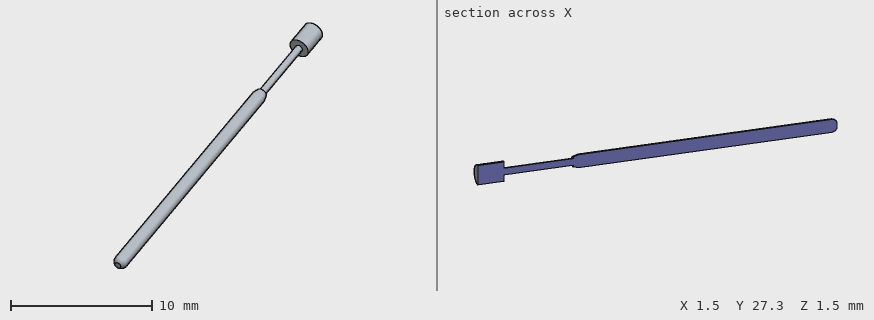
import cadquery as cq
import math

total_length = 27.3

head_diameter = 1.5
head_length = 2.0

plunger_diameter = 0.54
plunger_length = 5.25

barrel_diameter = 1.02
mouth_diameter = 0.8
mouth_length = 0.42

tip_length = 0.45

head_radius = head_diameter / 2
plunger_radius = plunger_diameter / 2
barrel_radius = barrel_diameter / 2
mouth_radius = mouth_diameter / 2
tip_flat_radius = math.sqrt(barrel_radius**2 - tip_length**2)

head_end = total_length / 2
tip_end = -head_end
head_start = head_end - head_length
mouth_end = head_start - plunger_length
taper_start = mouth_end - mouth_length
tip_start = tip_end + tip_length

tip_half_angle = math.asin(tip_length / barrel_radius) / 2
tip_mid_point = (
    barrel_radius * math.cos(tip_half_angle),
    tip_start - barrel_radius * math.sin(tip_half_angle),
)


def make_probe():
    """Revolve the half profile (radius along X, axis along Y)."""
    profile = (
        cq.Workplane("XY")
        .moveTo(0, tip_end)
        .lineTo(tip_flat_radius, tip_end)
        .threePointArc(tip_mid_point, (barrel_radius, tip_start))
        .lineTo(barrel_radius, taper_start)
        .lineTo(mouth_radius, mouth_end)
        .lineTo(plunger_radius, mouth_end)
        .lineTo(plunger_radius, head_start)
        .lineTo(head_radius, head_start)
        .lineTo(head_radius, head_end)
        .lineTo(0, head_end)
        .close()
    )
    return profile.revolve(360, (0, 0, 0), (0, 1, 0))


result = make_probe()